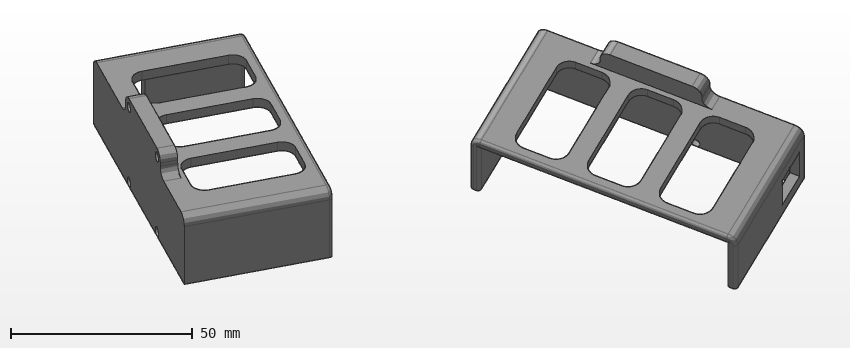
import cadquery as cq

width = 81.3
depth = 43.0
body_height = 22.35
total_height = 29.4
corner_radius = 3.0
rear_edge_radius = 1.05

side_wall = 3.0
front_wall = 3.0
roof_thickness = 3.0

tab_center_x = 3.65
tab_width = 31.05
tab_thickness = 5.0

hole_diameter = 2.8
hole_pitch = 25.0
lower_hole_z = 1.5
hole_depth = 4.0

window_width = 15.9
window_start_y = 6.6
window_end_y = 39.5
window_pitch = 21.95
window_radius = 4.0

port_size = 11.0
port_start_y = 2.9
port_start_z = 4.2


def block(x_size, y_start, y_end, z_start, z_end):
    """Box centred on X between the given Y and Z limits."""
    return cq.Workplane("XY").box(
        x_size, y_end - y_start, z_end - z_start, centered=(True, False, False)
    ).translate((0, y_start, z_start))


def make_cavity():
    """Interior space, open at the underside and the rear."""
    return block(width - 2 * side_wall, front_wall, depth, 0, body_height - roof_thickness)


def make_body():
    """Hollow body with rounded top sides and softened inner and outer rear rim edges."""
    body = block(width, 0, depth, 0, body_height)
    body = body.edges("|Y and >Z").fillet(corner_radius)
    body = body.cut(make_cavity())
    return body.faces(">Y").edges("not <Z").fillet(rear_edge_radius)


def make_tab():
    """Front tab with rounded top corners and concave flares at the roof."""
    r = corner_radius
    tab_start_z = body_height - roof_thickness
    half_width = tab_width / 2
    tab = block(tab_width, 0, tab_thickness, tab_start_z, total_height)
    tab = tab.edges("|Y and >Z").fillet(r)
    flares = block(tab_width + 2 * r, 0, tab_thickness, tab_start_z, body_height + r)
    for side in (-1, 1):
        rounding = (
            cq.Workplane("XZ")
            .center(side * (half_width + r), body_height + r)
            .circle(r)
            .extrude(-tab_thickness)
        )
        flares = flares.cut(rounding)
    return tab.union(flares).translate((tab_center_x, 0, 0))


def make_windows():
    """Row of rounded rectangular openings through the roof."""
    window = block(window_width, window_start_y, window_end_y, 0, body_height)
    window = window.edges("|Z").fillet(window_radius)
    windows = window
    for side in (-1, 1):
        windows = windows.union(window.translate((side * window_pitch, 0, 0)))
    return windows


def make_mounting_holes():
    """Four holes in a square pattern: through the wall, blind in the thicker tab."""
    lower_row = [(tab_center_x + side * hole_pitch / 2, lower_hole_z) for side in (-1, 1)]
    upper_row = [(x, z + hole_pitch) for x, z in lower_row]
    return (
        cq.Workplane("XZ")
        .pushPoints(lower_row + upper_row)
        .circle(hole_diameter / 2)
        .extrude(-hole_depth)
    )


def make_port():
    """Cutter for the square opening in the -X side wall."""
    return cq.Workplane("XY").box(side_wall, port_size, port_size, centered=False).translate(
        (-width / 2, port_start_y, port_start_z)
    )


result = (
    make_body()
    .union(make_tab())
    .cut(make_windows())
    .cut(make_port())
    .cut(make_mounting_holes())
)